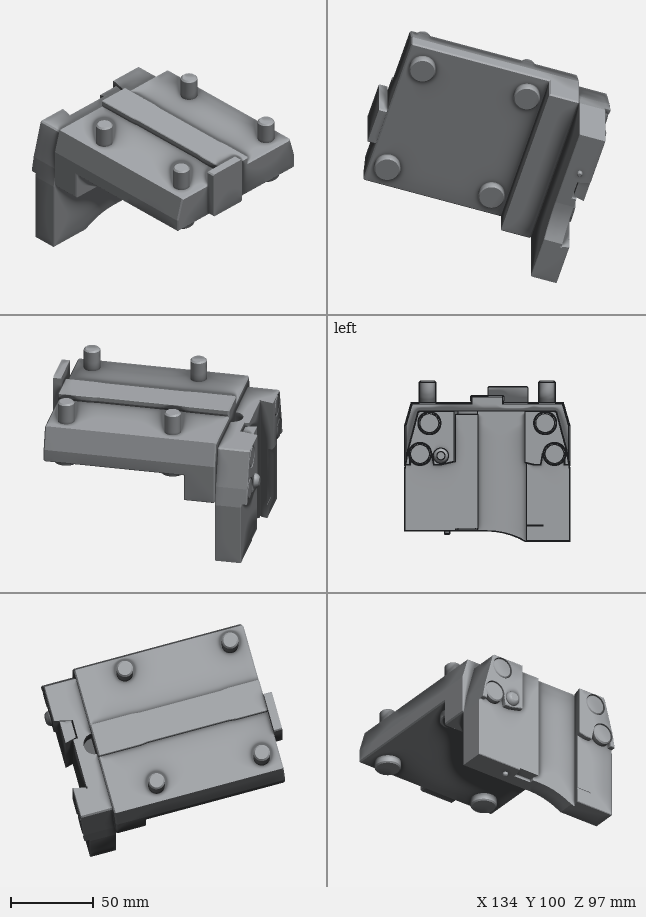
import cadquery as cq
import math


width = 100.0
half_width = width / 2
edge_break = 0.8
fine_edge_break = 0.4

body_length = 106.0
shelf_z = 83.8
shelf_half_width = 46.0
crease_z = 69.7
body_bottom_z = 61.6
leg_length = 19.0
leg_bottom_z = 44.9

ridge_top_z = 88.0
undercut_top_z = 85.2
undercut_depth = 0.4
ridge_half_width = 10.0
waist_inset = 0.5
waist_start = 26.1
waist_end = 86.4
waist_taper = 4.7

pin_diameter = 10.0
pin_top_z = 97.0
pin_head_diameter = 16.0
pin_head_bottom_z = 56.8
pin_tip_chamfer = 1.0
pin_x_positions = (29.1, 95.0)
pin_y = 36.0

tab_thickness = 5.1
tab_right_y = -24.7
tab_left_y = -0.4
tab_bottom_z = 63.1
tab_top_z = 93.5

pad_face_x = -19.8
lower_face_x = -16.3
plate_top_z = 78.8
plate_top_half_width = 41.8
plate_bend_z = 55.6
plate_bend_half_width = 48.0
plate_side_top_z = 44.0
pad_bottom_z = 46.1
pad_inner_bottom_z = 48.5
pad_flat_start_y = 28.4
left_bottom_z = 6.3
arc_start_y = 0.5

recess_floor_x = -11.5
recess_left_y = 5.9
recess_right_mouth_y = -22.9
recess_right_floor_y = -24.9
slot_floor_x = -8.6
slot_left_mouth_y = 20.1
slot_left_floor_y = 17.7
relief_diameter = 1.2

gib_back_x = -9.5
gib_bottom_z = 7.5
gib_top_z = 76.8
gib_right_front_y = 5.5
gib_right_back_y = 7.2

counterbore_diameter = 14.0
cap_head_diameter = 13.0
cap_head_height = 10.0
cap_head_chamfer = 0.8
upper_cap_position = (35.0, 71.4)
lower_cap_position = (40.6, 52.8)
notch_inner_y = 32.4
notch_outer_y = 46.5

button_diameter = 9.2
button_tip_diameter = 5.0
button_height = 3.1
button_rim_height = 0.7
button_bulge = 0.3
button_position = (28.0, 51.7)
peg_diameter = 3.4
peg_tip_diameter = 1.9
peg_position = (-8.0, 24.3)
peg_bottom_z = 4.0
peg_taper_height = 0.8
socket_diameter = 13.0
socket_depth = 13.4
groove_z = 9.6
groove_width = 0.8
groove_depth = 0.4
groove_end_y = -33.8


def extrude_x(points, x_start, x_end):
    """Extrude a closed (Y, Z) outline along X."""
    return cq.Workplane("YZ", origin=(x_start, 0, 0)).polyline(points).close().extrude(x_end - x_start)


def extrude_z(points, z_start, z_end):
    """Extrude a closed (X, Y) outline along Z."""
    return cq.Workplane("XY", origin=(0, 0, z_start)).polyline(points).close().extrude(z_end - z_start)


def mirrored(half_outline):
    """Complete a (Y, Z) outline from its +Y half."""
    return half_outline + [(-y, z) for y, z in reversed(half_outline)]


def ridge_outline(x_start, x_end):
    """(X, Y) outline of the guide ridge, slightly waisted along its middle."""
    waist_half_width = ridge_half_width - waist_inset
    side = [
        (x_start, ridge_half_width),
        (waist_start, ridge_half_width),
        (waist_start + waist_taper, waist_half_width),
        (waist_end - waist_taper, waist_half_width),
        (waist_end, ridge_half_width),
        (x_end, ridge_half_width),
    ]
    return side + [(x, -y) for x, y in reversed(side)]


def make_undercut():
    """Material to remove where the ridge sides slope inwards down to the shelf."""
    height = undercut_top_z - shelf_z
    block = cq.Workplane("XY", origin=(0, 0, shelf_z)).box(
        body_length, 2 * shelf_half_width, height, centered=(False, True, False)
    )
    overrun = 2.7
    neck = (
        cq.Workplane("XY", origin=(0, 0, shelf_z))
        .polyline(ridge_outline(-overrun, body_length + overrun))
        .close()
        .offset2D(-undercut_depth)
        .extrude(height, taper=-math.degrees(math.atan(undercut_depth / height)))
    )
    return block.cut(neck)


def make_body():
    side = (
        cq.Workplane("XZ", origin=(0, half_width, 0))
        .polyline([
            (0, leg_bottom_z),
            (leg_length, leg_bottom_z),
            (leg_length, body_bottom_z),
            (body_length, body_bottom_z),
            (body_length, shelf_z),
            (0, shelf_z),
        ])
        .close()
        .extrude(width)
    )
    section = extrude_x(
        mirrored([(half_width, leg_bottom_z), (half_width, crease_z), (shelf_half_width, shelf_z)]),
        0,
        body_length,
    )
    ridge = extrude_z(ridge_outline(0, body_length), body_bottom_z, ridge_top_z)
    body = side.intersect(section).union(ridge)
    end_edges = body.faces("<X or >X").edges()
    side_edges = body.faces("<Y or >Y").edges("not >Z").edges("not (<X or >X)")
    body = end_edges.add(side_edges).chamfer(edge_break)
    body = body.edges("(not |Y) and >Z").chamfer(fine_edge_break)
    return body.cut(make_undercut())


def make_pin(x, y):
    """Screw with its head below the body and its tip above it."""
    head = (
        cq.Workplane("XY", origin=(x, y, pin_head_bottom_z))
        .circle(pin_head_diameter / 2)
        .extrude(body_bottom_z - pin_head_bottom_z)
        .faces("<Z")
        .chamfer(edge_break)
    )
    shank = (
        cq.Workplane("XY", origin=(x, y, body_bottom_z))
        .circle(pin_diameter / 2)
        .extrude(pin_top_z - body_bottom_z)
        .faces(">Z")
        .chamfer(pin_tip_chamfer)
    )
    return head.union(shank)


def make_tab():
    return (
        cq.Workplane("XY")
        .box(tab_thickness, tab_left_y - tab_right_y, tab_top_z - tab_bottom_z, centered=False)
        .edges("|X")
        .chamfer(edge_break)
        .translate((body_length, tab_right_y, tab_bottom_z))
    )


def make_plate():
    arc_end_y = recess_right_mouth_y
    run = arc_start_y - arc_end_y
    radius = (run**2 + left_bottom_z**2) / (2 * left_bottom_z)
    half_angle = math.asin(run / radius) / 2
    arc_middle = (
        arc_start_y - radius * math.sin(half_angle),
        left_bottom_z - radius * (1 - math.cos(half_angle)),
    )
    base = (
        cq.Workplane("YZ", origin=(lower_face_x, 0, 0))
        .moveTo(half_width, left_bottom_z)
        .lineTo(arc_start_y, left_bottom_z)
        .threePointArc(arc_middle, (arc_end_y, 0))
        .lineTo(-half_width, 0)
        .lineTo(-half_width, plate_side_top_z)
        .lineTo(-plate_bend_half_width, plate_bend_z)
        .lineTo(-plate_top_half_width, plate_top_z)
        .lineTo(plate_top_half_width, plate_top_z)
        .lineTo(plate_bend_half_width, plate_bend_z)
        .lineTo(half_width, plate_side_top_z)
        .close()
        .extrude(-lower_face_x)
    )
    plate = base.edges("|X and >Z").chamfer(edge_break)
    plate = plate.faces("<X or >X").chamfer(fine_edge_break)
    for side in (1, -1):
        plate = plate.union(make_pad(side))
    return plate.cut(make_recess()).union(make_gib())


def make_pad(side):
    """Raised pad on one side (+1 or -1) of the recess, open below the lower cap screw."""
    slope = (half_width - plate_bend_half_width) / (plate_bend_z - plate_side_top_z)
    outer_bottom_y = plate_bend_half_width + slope * (plate_bend_z - pad_bottom_z)
    cap_y, cap_z = lower_cap_position
    inner_y = slot_left_floor_y
    outline = [
        (inner_y, plate_top_z),
        (plate_top_half_width, plate_top_z),
        (plate_bend_half_width, plate_bend_z),
        (outer_bottom_y, pad_bottom_z),
        (notch_outer_y, pad_bottom_z),
        (notch_outer_y, cap_z),
        (cap_y - counterbore_diameter / 2, cap_z),
        (notch_inner_y, pad_bottom_z),
        (pad_flat_start_y, pad_bottom_z),
        (inner_y, pad_inner_bottom_z),
    ]
    pad = extrude_x([(side * y, z) for y, z in outline], pad_face_x, recess_floor_x)
    pad = pad.edges("|X and >Z").chamfer(edge_break)
    return pad.faces("<X").chamfer(fine_edge_break)


def make_recess():
    """Dovetail recess with a deeper slot along its +Y side and a relieved -Y corner."""
    outline = [
        (pad_face_x, slot_left_mouth_y),
        (gib_back_x, slot_left_floor_y),
        (slot_floor_x, slot_left_floor_y),
        (slot_floor_x, recess_left_y),
        (recess_floor_x, recess_left_y),
        (recess_floor_x, recess_right_floor_y),
        (pad_face_x, recess_right_mouth_y),
    ]
    corner_relief = (
        cq.Workplane("XY")
        .center(recess_floor_x, recess_right_floor_y)
        .circle(relief_diameter / 2)
        .extrude(plate_top_z)
    )
    return extrude_z(outline, 0, plate_top_z).union(corner_relief)


def make_gib():
    """Wedge strip against the +Y wall of the recess, flush with the lower plate face."""
    wall_slope = (slot_left_mouth_y - slot_left_floor_y) / (gib_back_x - pad_face_x)
    front_y = slot_left_mouth_y - wall_slope * (lower_face_x - pad_face_x)
    outline = [
        (lower_face_x, front_y),
        (gib_back_x, slot_left_floor_y),
        (gib_back_x, gib_right_back_y),
        (lower_face_x, gib_right_front_y),
    ]
    return extrude_z(outline, gib_bottom_z, gib_top_z)


def x_cylinder(position, diameter, x_start, length):
    return (
        cq.Workplane("YZ", origin=(x_start, 0, 0))
        .center(*position)
        .circle(diameter / 2)
        .extrude(length)
    )


def add_cap_screw(plate, position):
    """Counterbore with a screw head flush with the pad face."""
    bore = x_cylinder(position, counterbore_diameter, pad_face_x, cap_head_height)
    head = x_cylinder(position, cap_head_diameter, pad_face_x, cap_head_height)
    head = head.faces("<X").chamfer(cap_head_chamfer)
    return plate.cut(bore).union(head)


def make_button():
    """Domed screw head on the +Y pad."""
    rim_x = pad_face_x - button_rim_height
    tip_x = pad_face_x - button_height
    middle = (
        (rim_x + tip_x) / 2 - button_bulge,
        (button_diameter + button_tip_diameter) / 4 + button_bulge,
    )
    y, z = button_position
    return (
        cq.Workplane("XY")
        .moveTo(pad_face_x, 0)
        .lineTo(pad_face_x, button_diameter / 2)
        .lineTo(rim_x, button_diameter / 2)
        .threePointArc(middle, (tip_x, button_tip_diameter / 2))
        .lineTo(tip_x, 0)
        .close()
        .revolve(360, (0, 0, 0), (1, 0, 0))
        .translate((0, y, z))
    )


def make_peg():
    """Small tapered peg under the plate."""
    x, y = peg_position
    taper_z = peg_bottom_z + peg_taper_height
    shank = (
        cq.Workplane("XY", origin=(x, y, taper_z))
        .circle(peg_diameter / 2)
        .extrude(left_bottom_z - taper_z)
    )
    tip = (
        cq.Workplane("XY", origin=(x, y, taper_z))
        .circle(peg_diameter / 2)
        .workplane(offset=-peg_taper_height)
        .circle(peg_tip_diameter / 2)
        .loft()
    )
    return shank.union(tip)


def make_groove():
    """Shallow groove near the bottom of the -Y side."""
    length = recess_right_mouth_y - groove_end_y
    return cq.Workplane("XY", origin=(lower_face_x, groove_end_y, groove_z)).box(
        groove_depth, length, groove_width, centered=(False, False, True)
    )


plate = make_plate()
socket = (
    cq.Workplane("XY", origin=(0, 0, plate_top_z))
    .circle(socket_diameter / 2)
    .extrude(-socket_depth)
)
plate = plate.cut(socket).cut(make_groove())
for side in (1, -1):
    for y, z in (upper_cap_position, lower_cap_position):
        plate = add_cap_screw(plate, (side * y, z))
plate = plate.union(make_button()).union(make_peg())

result = make_body().union(make_tab()).union(plate)
for x in pin_x_positions:
    for y in (pin_y, -pin_y):
        result = result.union(make_pin(x, y))